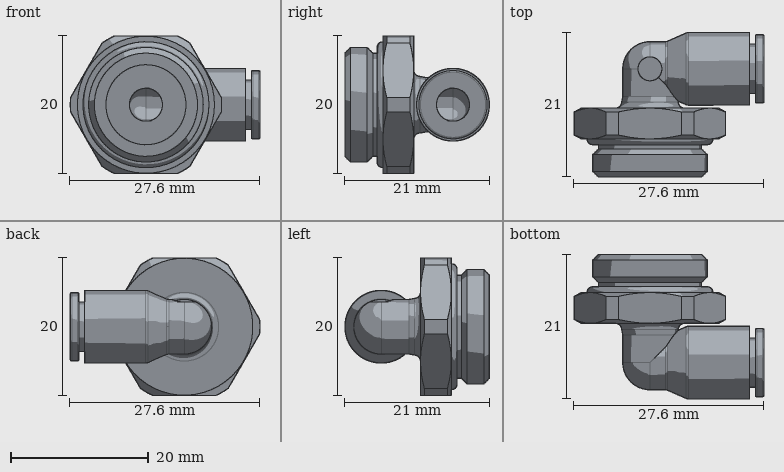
import cadquery as cq
import math


thread_radius = 8.32
groove_radius = 7.5
thread_chamfer = thread_radius - groove_radius
thread_top = 3.25
groove_start = thread_top + thread_chamfer

hex_across_flats = 20.0
hex_turn = 30
hex_corner_radius = 11.0
hex_face_radius = 9.95
hex_bevel_height = 0.58
hex_bottom = 5.5
hex_height = 4.52
hex_top = hex_bottom + hex_height

seal_round = 0.83
seal_center_radius = groove_radius + seal_round
seal_radius = seal_center_radius + seal_round

tube_radius = 3.97
elbow_y = 15.7
collar_radius = 4.13
collar_fillet = 0.85
collar_bottom = hex_top + collar_fillet
collar_top = 11.7

socket_radius = 5.3
cone_start = 2.42
cone_end = 5.43
socket_blend = 0.83
socket_end = 14.45

collet_neck_radius = 3.6
collet_radius = 4.95
collet_start = 15.3
collet_end = 16.55
collet_round = 0.22

stem_bore_radius = 5.8
stem_bore_depth = hex_bottom
flow_radius = 2.4

recess_radius = 1.74
recess_floor = math.sqrt(tube_radius**2 - recess_radius**2)


def cylinder_y(radius, start, end):
    return cq.Workplane("XZ", origin=(0, start, 0)).circle(radius).extrude(start - end)


def cylinder_x(radius, start, end):
    return (
        cq.Workplane("YZ", origin=(start, elbow_y, 0))
        .circle(radius)
        .extrude(end - start)
    )


def make_stem():
    """Chamfered thread, undercut and half-round seal ring."""
    profile = (
        cq.Workplane("XY")
        .lineTo(groove_radius, 0)
        .lineTo(thread_radius, thread_chamfer)
        .lineTo(thread_radius, thread_top)
        .lineTo(groove_radius, groove_start)
        .lineTo(groove_radius, hex_bottom)
        .threePointArc((seal_center_radius, hex_bottom - seal_round), (seal_radius, hex_bottom))
        .lineTo(0, hex_bottom)
        .close()
    )
    return profile.revolve(360, (0, 0), (0, 1))


def make_hexagon():
    """Hexagon with flats facing Z, turned corners and both faces beveled."""
    prism = (
        cq.Workplane("XZ", origin=(0, hex_bottom, 0))
        .polygon(6, hex_across_flats, circumscribed=True)
        .extrude(-hex_height)
        .rotate((0, 0, 0), (0, 1, 0), hex_turn)
    )
    turned_blank = (
        cq.Workplane("XY")
        .moveTo(0, hex_bottom)
        .lineTo(hex_face_radius, hex_bottom)
        .lineTo(hex_corner_radius, hex_bottom + hex_bevel_height)
        .lineTo(hex_corner_radius, hex_top - hex_bevel_height)
        .lineTo(hex_face_radius, hex_top)
        .lineTo(0, hex_top)
        .close()
        .revolve(360, (0, 0), (0, 1))
    )
    return prism.intersect(turned_blank)


def make_riser():
    """Tube rising from the hexagon, with a filleted and flared foot."""
    profile = (
        cq.Workplane("XY")
        .moveTo(0, hex_top)
        .lineTo(collar_radius + collar_fillet, hex_top)
        .radiusArc((collar_radius, collar_bottom), collar_fillet)
        .lineTo(tube_radius, collar_top)
        .lineTo(tube_radius, elbow_y)
        .lineTo(0, elbow_y)
        .close()
    )
    return profile.revolve(360, (0, 0), (0, 1))


def make_elbow_ball(radius):
    """Ball centered where the stem and socket axes cross."""
    return cq.Workplane("XY").sphere(radius).translate((0, elbow_y, 0))


def make_socket():
    """Tube that widens through a cone into the hose socket."""
    socket = (
        cq.Workplane("XY", origin=(0, elbow_y, 0))
        .lineTo(0, tube_radius)
        .lineTo(cone_start, tube_radius)
        .lineTo(cone_end, socket_radius)
        .lineTo(socket_end, socket_radius)
        .lineTo(socket_end, 0)
        .close()
        .revolve(360, (0, 0), (1, 0))
    )
    return socket.faces("%CONE").edges("%CIRCLE").fillet(socket_blend)


def make_collet():
    """Release ring on a narrower neck."""
    neck = cylinder_x(collet_neck_radius, socket_end, collet_start)
    ring = cylinder_x(collet_radius, collet_start, collet_end)
    return neck.union(ring.faces("<X or >X").edges().fillet(collet_round))


def make_passages():
    """Wide stem bore, then a narrower passage that turns and leaves through the collet."""
    stem_bore = cylinder_y(stem_bore_radius, 0, stem_bore_depth)
    riser_passage = cylinder_y(flow_radius, stem_bore_depth, elbow_y)
    socket_passage = cylinder_x(flow_radius, 0, collet_end)
    return (
        riser_passage.union(socket_passage)
        .union(make_elbow_ball(flow_radius))
        .union(stem_bore)
    )


def make_recess():
    """Cutter whose floor meets the ball exactly at the recess radius."""
    return (
        cq.Workplane("XY", origin=(0, elbow_y, recess_floor))
        .circle(recess_radius)
        .extrude(tube_radius)
    )


elbow = make_riser().union(make_socket()).union(make_elbow_ball(tube_radius))
result = (
    elbow.union(make_stem())
    .union(make_hexagon())
    .union(make_collet())
    .cut(make_passages())
    .cut(make_recess())
)